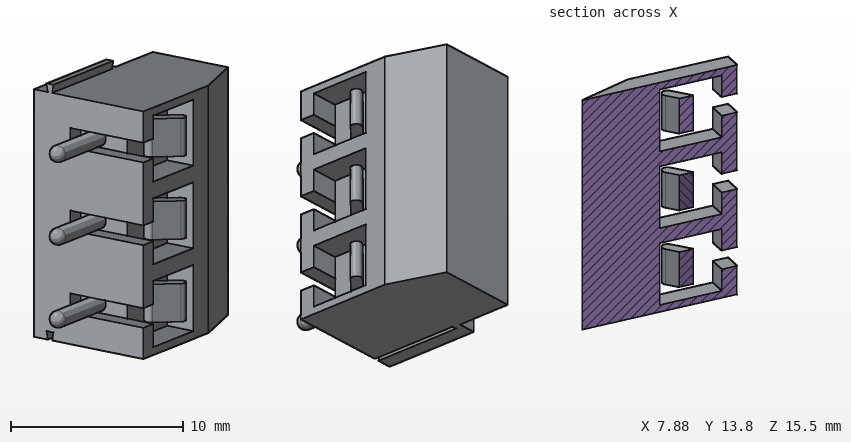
import cadquery as cq
import math

housing_width = 7.8
housing_depth = 10.2
housing_height = 14.99
shoulder_depth = 6.51
shoulder_step = 1.21
slope_run = 1.22
left_x = -housing_width / 2
right_x = housing_width / 2

dovetail_height = 0.51
dovetail_tip_width = 0.5
dovetail_neck_width = 0.31
dovetail_length = 6.0
dovetail_x = left_x + 1.15

pole_count = 3
pole_pitch = 5.0
slot_height = 1.2
slot_depth = 1.0
slot_start_x = left_x + 2.6
entry_size = 4.0
entry_end_x = left_x + 5.94

pin_diameter = 1.0
pin_radius = pin_diameter / 2
pin_reach = 3.55

leaf_width = 2.31
leaf_thickness = 0.7
leaf_angle = math.radians(40)
leaf_root_radius = 0.5
leaf_root_center_x = left_x + 6.17
leaf_tip_overhang = 0.08
leaf_tip_y = 4.06

pole_heights = [housing_height / 2 + (i - (pole_count - 1) / 2) * pole_pitch for i in range(pole_count)]


def dovetail(base_z):
    """Dovetail bar along Y, narrow at base_z and wider above it."""
    neck = dovetail_neck_width / 2
    tip = dovetail_tip_width / 2
    top_z = base_z + dovetail_height
    return (
        cq.Workplane("XZ")
        .polyline([
            (dovetail_x - neck, base_z),
            (dovetail_x + neck, base_z),
            (dovetail_x + tip, top_z),
            (dovetail_x - tip, top_z),
        ])
        .close()
        .extrude(-dovetail_length)
    )


def corner_box(x_start, y_start, depth, height, z_mid):
    """Box from x_start to the +X face, with its -Y face at y_start and centred on z_mid."""
    return (
        cq.Workplane("XY")
        .box(right_x - x_start, depth, height, centered=(False, False, True))
        .translate((x_start, y_start, z_mid))
    )


def pole_cavity(z):
    """Slot in the pin face, opening into a square wire entry in the +X face."""
    slot = corner_box(slot_start_x, 0, slot_depth, slot_height, z)
    entry = corner_box(entry_end_x, slot_depth, entry_size, entry_size, z)
    return slot.union(entry)


def make_housing():
    block = (
        cq.Workplane("XY")
        .polyline([
            (left_x, 0),
            (right_x, 0),
            (right_x, shoulder_depth),
            (right_x - slope_run, housing_depth),
            (left_x + shoulder_step, housing_depth),
            (left_x + shoulder_step, shoulder_depth),
            (left_x, shoulder_depth),
        ])
        .close()
        .extrude(housing_height)
    )
    block = block.union(dovetail(housing_height)).cut(dovetail(0))
    for z in pole_heights:
        block = block.cut(pole_cavity(z))
    return block


def make_pin(z):
    """Round pin standing on the slot floor, with a hemispherical end."""
    shoulder_y = pin_radius - pin_reach
    return (
        cq.Workplane("XY")
        .moveTo(0, slot_depth)
        .lineTo(pin_radius, slot_depth)
        .lineTo(pin_radius, shoulder_y)
        .radiusArc((0, -pin_reach), pin_radius)
        .close()
        .revolve(360, (0, 0, 0), (0, 1, 0))
        .translate((0, 0, z))
    )


def make_leaf(z):
    """Slanted leaf from the entry's end wall, with a rounded root and a round tip past the +X face."""
    tip_radius = leaf_thickness / 2
    tip_x = right_x + leaf_tip_overhang - tip_radius
    along_x, along_y = math.cos(leaf_angle), math.sin(leaf_angle)
    slope = math.tan(leaf_angle)

    outer_tip = (tip_x + tip_radius * along_y, leaf_tip_y - tip_radius * along_x)
    inner_tip = (tip_x - tip_radius * along_y, leaf_tip_y + tip_radius * along_x)
    tip_end = (tip_x + tip_radius * along_x, leaf_tip_y + tip_radius * along_y)
    inner_root = (entry_end_x, inner_tip[1] - (inner_tip[0] - entry_end_x) * slope)

    outer_root_x = leaf_root_center_x + leaf_root_radius * along_y
    outer_root = (outer_root_x, outer_tip[1] - (outer_tip[0] - outer_root_x) * slope)
    root_center_y = outer_root[1] + leaf_root_radius * along_x
    root_offset = leaf_root_center_x - entry_end_x
    wall_root = (entry_end_x, root_center_y - math.sqrt(leaf_root_radius ** 2 - root_offset ** 2))
    root_low = (leaf_root_center_x, root_center_y - leaf_root_radius)

    return (
        cq.Workplane("XY", origin=(0, 0, z))
        .moveTo(*wall_root)
        .threePointArc(root_low, outer_root)
        .lineTo(*outer_tip)
        .threePointArc(tip_end, inner_tip)
        .lineTo(*inner_root)
        .close()
        .extrude(leaf_width / 2, both=True)
    )


housing = make_housing()
pins = [make_pin(z).val() for z in pole_heights]
leaves = [make_leaf(z).val() for z in pole_heights]

result = cq.Compound.makeCompound([housing.val(), *pins, *leaves])